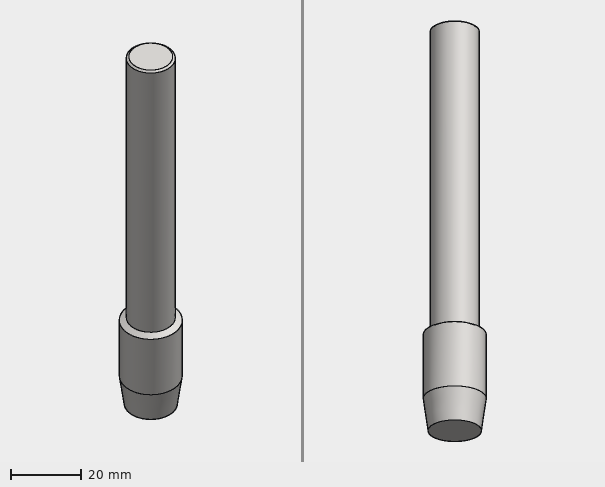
import cadquery as cq

total_length = 125.0
tip_length = 10.0
collar_length = 20.0

collar_diameter = 18.0
shank_diameter = 14.0
tip_end_diameter = 15.2

shoulder_height = 1.0
end_bevel_width = 0.8
end_bevel_height = 0.5

collar_radius = collar_diameter / 2
shank_radius = shank_diameter / 2
tip_end_radius = tip_end_diameter / 2
collar_top = tip_length + collar_length
shoulder_top = collar_top + shoulder_height


def revolve_about_z(profile_points):
    """Revolve a closed (radius, height) outline a full turn about the Z axis."""
    return cq.Workplane("XZ").polyline(profile_points).close().revolve(360, (0, 0), (0, 1))


def make_tip():
    """Tapered tip, widening upward to the collar diameter."""
    return revolve_about_z([
        (0, 0),
        (tip_end_radius, 0),
        (collar_radius, tip_length),
        (0, tip_length),
    ])


def make_shank():
    """Collar resting on the tip, sloping in to a long shank with a bevelled top end."""
    return revolve_about_z([
        (0, tip_length),
        (collar_radius, tip_length),
        (collar_radius, collar_top),
        (shank_radius, shoulder_top),
        (shank_radius, total_length - end_bevel_height),
        (shank_radius - end_bevel_width, total_length),
        (0, total_length),
    ])


tip = make_tip()
shank = make_shank()

result = cq.Compound.makeCompound([tip.val(), shank.val()])